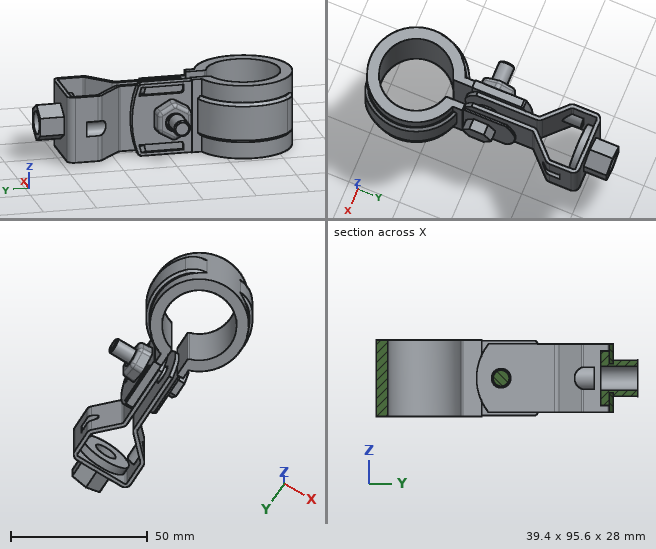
import cadquery as cq
import math


RING_R = 18.0
BORE_R = 13.6
RING_HEIGHT = 28.0
MOUTH_HALF = 3.4
LUG_OUTER_X = 6.0
LUG_END_Y = 20.7
MOUTH_ROUND = 0.7
BAND_R = 19.5
BAND_HEIGHT = 15.2
BAND_CHAMFER = 1.1
BAND_BLEND_X = 14.4
BAND_END_X = 7.2

BOLT_D = 6.0
BOLT_TIP_D = 4.92
BOLT_Y = 27.7
BOLT_TIP_REACH = 0.39
BOLT_TIP_X = -(BAND_R + BOLT_TIP_REACH)
BOLT_HEAD_AF = 10.0
BOLT_HEAD_HEIGHT = 4.1
CLEARANCE_D = 7.0
NUT_AF = 13.1
NUT_THICKNESS = 5.2
NUT_Y = 28.4
NUT_CORNER_R = 2.0
NUT_RIM_R = 1.5
NUT_TAPER = 3.0
NUT_COUNTERSINK_D = 7.0

PLATE_INNER_X = -3.4
PLATE_THICKNESS = 3.1
PLATE_HALF_HEIGHT = 13.7
PLATE_TIP_Y = 43.3
PLATE_SHOULDER_Y = 40.9
PLATE_SHOULDER_Z = 13.1
PLATE_SIDE_Y = 40.1
POCKET_DEPTH = 1.3
POCKET_INNER_Z = 9.4
POCKET_OUTER_Z = 12.5
POCKET_START_Y = 23.9
POCKET_END_INNER_Y = 40.6
POCKET_END_OUTER_Y = 39.8
POCKET_RAMP = 1.9
POCKET_RAMP_GAP = 0.55
POCKET_CORNER_R = 1.3

STRAP_INNER_X = 4.43
STRAP_THICKNESS = 0.75
STRAP_HALF_HEIGHT = 12.3
STRAP_TIP_Y = 41.2
STRAP_SHOULDER_Y = 37.7

SHEET = 1.5
BRACKET_HEIGHT = 25.0
BRACKET_HALF_WIDTH = 12.15
BRACKET_BACK_Y = 68.63
SHOULDER_Y = 56.6
LEG_OUTER_X = 3.0
LEG_TIP_Y = 18.7
LEG_SHOULDER_Y = 23.1
BEND_INNER_R = 1.0
BEND_OUTER_R = BEND_INNER_R + SHEET
BACK_INNER_R = 0.6
BACK_OUTER_R = 2.6
DENT_OUTER_R = 4.25
DENT_INNER_R = DENT_OUTER_R - SHEET
DENT_START_Y = 61.7

HANGER_AF = 11.8
HANGER_LENGTH = 9.0
HANGER_SHANK_D = 10.5
HANGER_BORE_D = 8.5
DISC_D = 20.0
DISC_THICKNESS = 3.1


def across_corners(across_flats):
    return across_flats / math.cos(math.radians(30))


def x_plane(x):
    """Workplane normal to +X whose local axes are (Y, Z)."""
    return cq.Workplane("YZ", origin=(x, 0, 0))


def cross_cylinder(diameter, x_start, x_end, y=BOLT_Y):
    return x_plane(x_start).center(y, 0).circle(diameter / 2).extrude(x_end - x_start)


def y_cylinder(diameter, y_start, y_end, x=0.0):
    plane = cq.Plane(origin=(x, y_start, 0), xDir=(1, 0, 0), normal=(0, 1, 0))
    return cq.Workplane(plane).circle(diameter / 2).extrude(y_end - y_start)


def make_band():
    """Solid wedge whose rim is the raised band on the +X flank."""
    blend_y = -math.sqrt(BAND_R**2 - BAND_BLEND_X**2)
    end_y = -math.sqrt(RING_R**2 - BAND_END_X**2)
    lug_y = math.sqrt(BAND_R**2 - LUG_OUTER_X**2)
    band = (
        cq.Workplane("XY")
        .workplane(offset=-BAND_HEIGHT / 2)
        .moveTo(LUG_OUTER_X, lug_y)
        .threePointArc((BAND_R, 0), (BAND_BLEND_X, blend_y))
        .tangentArcPoint((BAND_END_X, end_y), relative=False)
        .lineTo(LUG_OUTER_X, 0)
        .close()
        .extrude(BAND_HEIGHT)
    )
    return band.faces("|Z").edges("%CIRCLE").chamfer(BAND_CHAMFER)


def make_clamp_ring():
    ring = cq.Workplane("XY").circle(RING_R).extrude(RING_HEIGHT / 2, both=True)
    lugs = cq.Workplane("XY").box(2 * LUG_OUTER_X, LUG_END_Y, RING_HEIGHT).translate((0, LUG_END_Y / 2, 0))
    band = make_band()
    ring = ring.union(lugs).union(band).union(band.mirror("YZ"))
    bore = cq.Workplane("XY").circle(BORE_R).extrude(RING_HEIGHT, both=True)
    mouth = cq.Workplane("XY").box(2 * MOUTH_HALF, LUG_END_Y, RING_HEIGHT).translate((0, LUG_END_Y / 2, 0))
    ring = ring.cut(bore).cut(mouth)
    lip_y = math.sqrt(BORE_R**2 - MOUTH_HALF**2)
    for x in (-MOUTH_HALF, MOUTH_HALF):
        ring = ring.edges(cq.selectors.NearestToPointSelector((x, lip_y, 0))).fillet(MOUTH_ROUND)
    return ring


def make_pocket():
    """Shallow pocket with a ramped end in the upper half of the nut plate."""
    face_x = PLATE_INNER_X - PLATE_THICKNESS
    floor = (
        x_plane(face_x)
        .moveTo(POCKET_START_Y, POCKET_OUTER_Z)
        .lineTo(POCKET_END_OUTER_Y, POCKET_OUTER_Z)
        .lineTo(POCKET_END_INNER_Y, POCKET_INNER_Z)
        .lineTo(POCKET_START_Y + POCKET_CORNER_R, POCKET_INNER_Z)
        .tangentArcPoint((POCKET_START_Y, POCKET_INNER_Z + POCKET_CORNER_R), relative=False)
        .close()
        .extrude(POCKET_DEPTH)
    )
    end_skew = math.degrees(
        math.atan2(POCKET_END_INNER_Y - POCKET_END_OUTER_Y, POCKET_OUTER_Z - POCKET_INNER_Z)
    )
    ramp_base = (face_x, POCKET_END_INNER_Y, POCKET_INNER_Z + POCKET_RAMP_GAP)
    ramp_zone = (
        cq.Workplane("XY", origin=ramp_base)
        .rect(2 * PLATE_THICKNESS, PLATE_TIP_Y)
        .extrude(PLATE_HALF_HEIGHT)
    )
    ramp = (
        cq.Workplane("XY")
        .moveTo(face_x, 0)
        .lineTo(face_x + POCKET_DEPTH, -POCKET_RAMP)
        .lineTo(face_x + POCKET_DEPTH, 0)
        .close()
        .extrude(PLATE_HALF_HEIGHT, both=True)
        .rotate((0, 0, 0), (1, 0, 0), end_skew)
        .translate((0, POCKET_END_INNER_Y, POCKET_INNER_Z))
    )
    return floor.cut(ramp.intersect(ramp_zone))


def make_nut_plate():
    plate = (
        x_plane(PLATE_INNER_X)
        .moveTo(LUG_END_Y, -PLATE_HALF_HEIGHT)
        .lineTo(PLATE_SIDE_Y, -PLATE_HALF_HEIGHT)
        .lineTo(PLATE_SHOULDER_Y, -PLATE_SHOULDER_Z)
        .threePointArc((PLATE_TIP_Y, 0), (PLATE_SHOULDER_Y, PLATE_SHOULDER_Z))
        .lineTo(PLATE_SIDE_Y, PLATE_HALF_HEIGHT)
        .lineTo(LUG_END_Y, PLATE_HALF_HEIGHT)
        .close()
        .extrude(-PLATE_THICKNESS)
    )
    pocket = make_pocket()
    hole = cross_cylinder(CLEARANCE_D, PLATE_INNER_X - PLATE_THICKNESS, PLATE_INNER_X)
    return plate.cut(pocket).cut(pocket.mirror("XY")).cut(hole)


def make_strap():
    strap = (
        x_plane(STRAP_INNER_X)
        .moveTo(LUG_END_Y, -STRAP_HALF_HEIGHT)
        .lineTo(STRAP_SHOULDER_Y, -STRAP_HALF_HEIGHT)
        .threePointArc((STRAP_TIP_Y, 0), (STRAP_SHOULDER_Y, STRAP_HALF_HEIGHT))
        .lineTo(LUG_END_Y, STRAP_HALF_HEIGHT)
        .close()
        .extrude(STRAP_THICKNESS)
    )
    return strap.cut(cross_cylinder(CLEARANCE_D, STRAP_INNER_X, STRAP_INNER_X + STRAP_THICKNESS))


def make_bolt():
    head_x = STRAP_INNER_X + STRAP_THICKNESS
    shaft = cross_cylinder(BOLT_D, BOLT_TIP_X, head_x).faces("<X").chamfer((BOLT_D - BOLT_TIP_D) / 2)
    head = (
        x_plane(head_x)
        .center(BOLT_Y, 0)
        .polygon(6, across_corners(BOLT_HEAD_AF))
        .extrude(BOLT_HEAD_HEIGHT)
    )
    return shaft.union(head)


def make_nut():
    seat_x = PLATE_INNER_X - PLATE_THICKNESS
    end_x = seat_x - NUT_THICKNESS
    plane = cq.Plane(origin=(seat_x, NUT_Y, 0), xDir=(0, 0, 1), normal=(-1, 0, 0))
    nut = cq.Workplane(plane).polygon(6, across_corners(NUT_AF)).extrude(NUT_THICKNESS, taper=NUT_TAPER)
    nut = nut.edges("not(#X)").fillet(NUT_CORNER_R)
    nut = nut.faces("<X").edges().fillet(NUT_RIM_R)
    lead = (NUT_COUNTERSINK_D - BOLT_D) / 2
    countersink = cq.Solid.makeCone(
        NUT_COUNTERSINK_D / 2,
        BOLT_D / 2,
        lead,
        pnt=cq.Vector(end_x, NUT_Y, 0),
        dir=cq.Vector(1, 0, 0),
    )
    return nut.cut(cq.Workplane(countersink)).cut(cross_cylinder(BOLT_D, end_x, seat_x))


def bracket_block(inset, neck_r, shoulder_r, back_r):
    """Solid block bounded by the bracket's outer faces moved inwards by inset."""
    corner_shift = inset * (math.sqrt(2) - 1)
    half_width = BRACKET_HALF_WIDTH - inset
    leg_x = LEG_OUTER_X - inset
    back_y = BRACKET_BACK_Y - inset
    shoulder_y = SHOULDER_Y + corner_shift
    neck_y = SHOULDER_Y - (BRACKET_HALF_WIDTH - LEG_OUTER_X) + corner_shift
    half_outline = [
        (0, LEG_TIP_Y),
        (leg_x, LEG_TIP_Y),
        (leg_x, neck_y),
        (half_width, shoulder_y),
        (half_width, back_y),
        (0, back_y),
    ]
    block = cq.Workplane("XY").polyline(half_outline).close().extrude(BRACKET_HEIGHT / 2, both=True)
    block = block.union(block.mirror("YZ"))
    bends = [
        (leg_x, neck_y, neck_r),
        (half_width, shoulder_y, shoulder_r),
        (half_width, back_y, back_r),
    ]
    for x, y, radius in bends:
        for side in (-1, 1):
            block = block.edges(cq.selectors.NearestToPointSelector((side * x, y, 0))).fillet(radius)
    return block


def make_bracket():
    outside = bracket_block(0, BEND_INNER_R, BEND_OUTER_R, BACK_OUTER_R)
    inside = bracket_block(SHEET, BEND_OUTER_R, BEND_INNER_R, BACK_INNER_R)
    bracket = outside.cut(inside)
    leg_form = (
        x_plane(-BRACKET_HALF_WIDTH)
        .moveTo(BRACKET_BACK_Y, BRACKET_HEIGHT / 2)
        .lineTo(LEG_SHOULDER_Y, BRACKET_HEIGHT / 2)
        .threePointArc((LEG_TIP_Y, 0), (LEG_SHOULDER_Y, -BRACKET_HEIGHT / 2))
        .lineTo(BRACKET_BACK_Y, -BRACKET_HEIGHT / 2)
        .close()
        .extrude(2 * BRACKET_HALF_WIDTH)
    )
    bracket = bracket.intersect(leg_form)
    dent_end_y = SHOULDER_Y - 2 * DENT_OUTER_R
    for x in (-BRACKET_HALF_WIDTH, BRACKET_HALF_WIDTH):
        bump = y_cylinder(2 * DENT_OUTER_R, dent_end_y, DENT_START_Y, x).intersect(outside)
        groove = y_cylinder(2 * DENT_INNER_R, dent_end_y, DENT_START_Y, x)
        bracket = bracket.union(bump).cut(groove)
    shank_hole = y_cylinder(HANGER_SHANK_D, BRACKET_BACK_Y - SHEET, BRACKET_BACK_Y)
    bolt_hole = cross_cylinder(CLEARANCE_D, -LEG_OUTER_X, LEG_OUTER_X)
    return bracket.cut(shank_hole).cut(bolt_hole)


def make_hanger():
    inner_y = BRACKET_BACK_Y - SHEET
    end_y = BRACKET_BACK_Y + HANGER_LENGTH
    plane = cq.Plane(origin=(0, BRACKET_BACK_Y, 0), xDir=(0, 0, 1), normal=(0, 1, 0))
    hexagon = cq.Workplane(plane).polygon(6, across_corners(HANGER_AF)).extrude(HANGER_LENGTH)
    shank = y_cylinder(HANGER_SHANK_D, inner_y, BRACKET_BACK_Y)
    disc = y_cylinder(DISC_D, inner_y - DISC_THICKNESS, inner_y)
    bore = y_cylinder(HANGER_BORE_D, inner_y - DISC_THICKNESS, end_y)
    return hexagon.union(shank).union(disc).cut(bore)


clamp_ring = make_clamp_ring()
nut_plate = make_nut_plate()
strap = make_strap()
bolt = make_bolt()
nut = make_nut()
bracket = make_bracket()
hanger = make_hanger()

result = cq.Compound.makeCompound(
    [body.val() for body in (clamp_ring, nut_plate, strap, bolt, nut, bracket, hanger)]
)